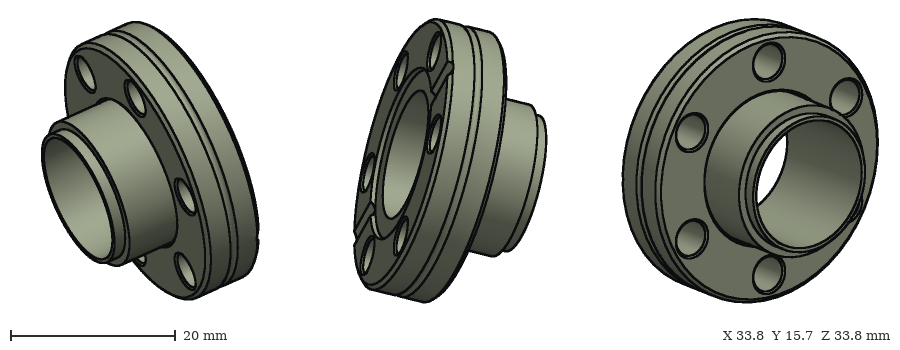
import cadquery as cq
import math

ring_diameter = 33.8
ring_thickness = 7.6
ring_bore = 19.2
bore_chamfer = 0.25
rim_chamfer = 0.5

rim_groove_width = 1.0
rim_groove_depth = 0.27

bolt_count = 6
bolt_hole_diameter = 4.4
bolt_circle_diameter = 27.0
bolt_chamfer = 0.255

test_groove_width = 2.3
test_groove_depth = 0.6

counterbore_diameter = 21.4
counterbore_depth = ring_thickness / 2

collar_diameter = 21.1
collar_recess = test_groove_depth
neck_diameter = 19.0
neck_bore = 16.0
spigot_diameter = 17.0
spigot_length = 1.52
overall_length = 15.7


def disc(diameter, y_start, length):
    """Cylinder about the Y axis that runs from y_start towards -Y."""
    return cq.Workplane("XZ", origin=(0, y_start, 0)).circle(diameter / 2).extrude(length)


def rim_groove():
    radius = ring_diameter / 2
    middle = -ring_thickness / 2
    half_width = rim_groove_width / 2
    return (
        cq.Workplane("XY")
        .moveTo(radius, middle - half_width)
        .threePointArc((radius - rim_groove_depth, middle), (radius, middle + half_width))
        .lineTo(radius + rim_groove_depth, middle + half_width)
        .lineTo(radius + rim_groove_depth, middle - half_width)
        .close()
        .revolve(360, (0, 0), (0, 1))
    )


def test_groove():
    half_width = test_groove_width / 2
    radius = (half_width**2 + test_groove_depth**2) / (2 * test_groove_depth)
    return (
        cq.Workplane("YZ")
        .center(radius - test_groove_depth, 0)
        .circle(radius)
        .extrude(ring_diameter / 2, both=True)
    )


def bolt_hole(angle):
    radius = bolt_circle_diameter / 2
    hole = disc(bolt_hole_diameter, 0, ring_thickness)
    sink_diameter = bolt_hole_diameter + 2 * bolt_chamfer
    for face_y, direction in ((0, -1), (-ring_thickness, 1)):
        sink = cq.Solid.makeCone(
            sink_diameter / 2, bolt_hole_diameter / 2, bolt_chamfer,
            cq.Vector(0, face_y, 0), cq.Vector(0, direction, 0),
        )
        hole = hole.union(cq.Workplane(sink))
    return hole.translate((radius * math.cos(angle), 0, radius * math.sin(angle)))


def make_ring():
    ring = disc(ring_diameter, 0, ring_thickness).faces("<Y or >Y").edges().chamfer(rim_chamfer)
    ring = ring.cut(rim_groove())
    ring = ring.cut(disc(ring_bore, 0, ring_thickness))
    ring = ring.cut(disc(counterbore_diameter, 0, counterbore_depth))
    ring = ring.faces("<Y").edges(cq.selectors.RadiusNthSelector(0)).chamfer(bore_chamfer)
    for index in range(bolt_count):
        ring = ring.cut(bolt_hole(math.radians(90) + index * 2 * math.pi / bolt_count))
    return ring.cut(test_groove())


def make_neck():
    collar = disc(collar_diameter, -collar_recess, counterbore_depth - collar_recess)
    tube = disc(neck_diameter, -collar_recess, overall_length - spigot_length - collar_recess)
    spigot = disc(spigot_diameter, -collar_recess, overall_length - collar_recess)
    return collar.union(tube).union(spigot).cut(disc(neck_bore, 0, overall_length))


ring = make_ring()
neck = make_neck()
result = cq.Compound.makeCompound([ring.val(), neck.val()])